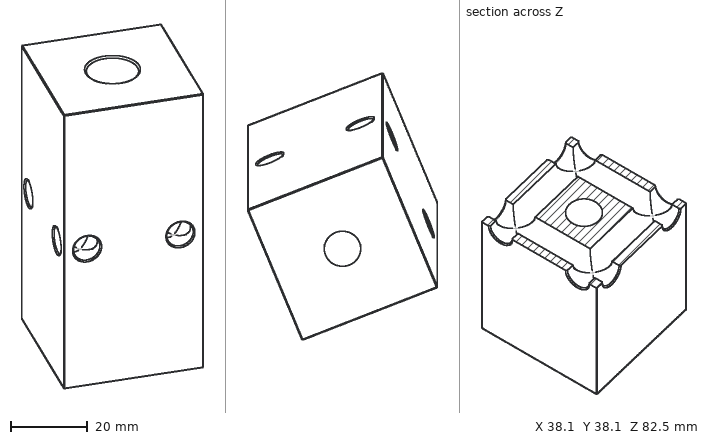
import cadquery as cq

height = 82.55
width = 38.1
edge_chamfer = 0.25

bore_diameter = 9.5
port_top_diameter = 13.6
port_floor_diameter = 13.05
port_mouth_diameter = 14.6
port_depth = 11.55

mount_diameter = 7.2
mount_mouth_diameter = 7.9
mount_spacing = 25.4


def make_block():
    """Square block centred on the origin with every edge chamfered."""
    return cq.Workplane("XY").box(width, width, height).edges().chamfer(edge_chamfer)


def make_port():
    """Solid of the through bore, the tapered port above it and its 45 degree mouth."""
    top = height / 2
    bore_radius = bore_diameter / 2
    port_top_radius = port_top_diameter / 2
    port_floor_radius = port_floor_diameter / 2
    mouth_radius = port_mouth_diameter / 2
    mouth_depth = mouth_radius - port_top_radius
    return (
        cq.Workplane("XZ")
        .moveTo(0, -top)
        .lineTo(bore_radius, -top)
        .lineTo(bore_radius, top - port_depth)
        .lineTo(port_floor_radius, top - port_depth)
        .lineTo(port_top_radius, top - mouth_depth)
        .lineTo(mouth_radius, top)
        .lineTo(0, top)
        .close()
        .revolve(360, (0, 0, 0), (0, 1, 0))
    )


def make_mount_hole(offset):
    """Solid of one through hole along X at y = offset, with a 45 degree mouth at both ends."""
    end = width / 2
    hole_radius = mount_diameter / 2
    mouth_radius = mount_mouth_diameter / 2
    mouth_depth = mouth_radius - hole_radius
    profile = (
        cq.Workplane("XZ")
        .moveTo(-end, 0)
        .lineTo(-end, mouth_radius)
        .lineTo(-end + mouth_depth, hole_radius)
        .lineTo(end - mouth_depth, hole_radius)
        .lineTo(end, mouth_radius)
        .lineTo(end, 0)
        .close()
    )
    return profile.revolve(360, (0, 0, 0), (1, 0, 0)).translate((0, offset, 0))


result = make_block().cut(make_port())
for offset in (-mount_spacing / 2, mount_spacing / 2):
    hole_along_x = make_mount_hole(offset)
    hole_along_y = hole_along_x.rotate((0, 0, 0), (0, 0, 1), 90)
    result = result.cut(hole_along_x).cut(hole_along_y)